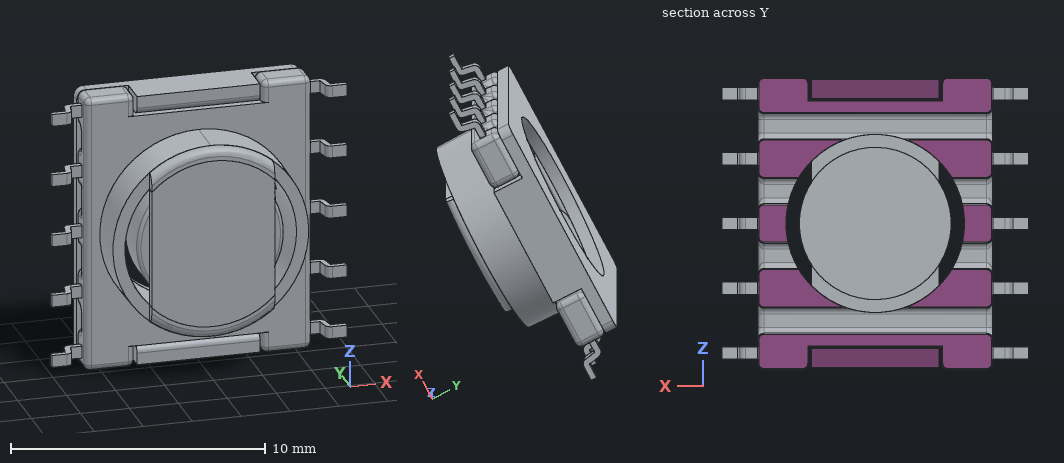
import cadquery as cq
import math


BOARD_WIDTH = 9.25
BOARD_HEIGHT = 11.5
BOARD_DEPTH = 1.25
EDGE_RADIUS = 0.25
NOTCH_WIDTH = 5.21
NOTCH_DEPTH = 0.89

TUBE_LENGTH = 1.79
TUBE_RADIUS = 4.02
TUBE_BASE_HALF_WIDTH = 4.03
TUBE_FRONT_HALF_WIDTH = 4.0
BORE_RADIUS = 3.5
RIM_HEIGHT = 0.36
RIM_RADIUS = 0.35

STRAP_WIDTH = 5.02

PLATE_DEPTH = 0.5
PLATE_HEIGHT = 11.35
PLATE_CORNER_RADIUS = 0.4
LEG_HEIGHT = 0.77
LEG_EDGE_RADIUS = 0.28

POST_RADIUS = 2.99
POST_EDGE_RADIUS = 0.15

PINS_PER_SIDE = 5
PIN_PITCH = 2.55
PIN_WIDTH = 0.51
PIN_THICKNESS = 0.25
PIN_SPAN = 12.07
PIN_EXIT_DEPTH = 0.51
PIN_UPPER_BEND_X = 5.09
PIN_LOWER_BEND_X = 5.42
PIN_STEP = 0.65
WINDOW_WIDTH = 0.99
WINDOW_DEPTH = 0.5
WINDOW_CORNER_RADIUS = 0.23

BOARD_FRONT_Y = -BOARD_DEPTH
TUBE_FRONT_Y = BOARD_FRONT_Y - TUBE_LENGTH
STRAP_FRONT_Y = TUBE_FRONT_Y - RIM_HEIGHT

SELECTION_MARGIN = 0.01


def block(width, height, y_back, y_front):
    """Box centered on X = Z = 0 between two Y planes."""
    depth = y_back - y_front
    return cq.Workplane("XY").box(width, depth, height).translate((0, (y_back + y_front) / 2, 0))


def cylinder(radius, y_back, y_front):
    """Round bar along Y between two Y planes."""
    return cq.Workplane("XZ").workplane(offset=-y_back).circle(radius).extrude(y_back - y_front)


def make_window(rounded):
    """Channel along X in the back of the board."""
    window = block(BOARD_WIDTH, WINDOW_WIDTH, 0, -WINDOW_DEPTH)
    if rounded:
        window = window.faces("<Y").edges("|X").fillet(WINDOW_CORNER_RADIUS)
    return window


def make_board():
    board = block(BOARD_WIDTH, BOARD_HEIGHT, 0, BOARD_FRONT_Y)
    for side in (-1, 1):
        notch = block(NOTCH_WIDTH, 2 * NOTCH_DEPTH, 0, BOARD_FRONT_Y)
        board = board.cut(notch.translate((0, 0, side * BOARD_HEIGHT / 2)))

    for row in range(PINS_PER_SIDE - 1):
        offset = row - (PINS_PER_SIDE - 2) / 2
        window = make_window(rounded=abs(offset) > 1)
        board = board.cut(window.translate((0, 0, offset * PIN_PITCH)))

    rim = board.faces("<X or >X or >Y or <Z or >Z").edges()
    rim = rim.add(board.faces("<Y").edges("|Z"))
    board = rim.fillet(EDGE_RADIUS)

    inner_reach = PIN_PITCH / 2 + WINDOW_WIDTH
    inner_corners = cq.selectors.BoxSelector(
        (-BOARD_WIDTH, -WINDOW_DEPTH - SELECTION_MARGIN, -inner_reach),
        (BOARD_WIDTH, -WINDOW_DEPTH + SELECTION_MARGIN, inner_reach),
    )
    return board.edges("|X").edges(inner_corners).fillet(WINDOW_CORNER_RADIUS)


def make_tube():
    """Tube, slightly wider at its base, whose front carries two rounded rim segments."""
    tube = (
        cq.Workplane("XZ", origin=(0, BOARD_FRONT_Y, 0))
        .ellipse(TUBE_BASE_HALF_WIDTH, TUBE_RADIUS)
        .workplane(offset=TUBE_LENGTH)
        .ellipse(TUBE_FRONT_HALF_WIDTH, TUBE_RADIUS)
        .loft(ruled=True)
    )
    rim = cylinder(TUBE_RADIUS, TUBE_FRONT_Y, STRAP_FRONT_Y)
    rim = rim.faces("<Y").edges().fillet(RIM_RADIUS)
    return tube.union(rim.intersect(block(STRAP_WIDTH, 2 * TUBE_RADIUS, TUBE_FRONT_Y, STRAP_FRONT_Y)))


def make_pin(side, z):
    """Flat strip bent into a step: sharp inside each bend, round outside it."""
    upper_x, upper_y = PIN_UPPER_BEND_X, -PIN_EXIT_DEPTH - PIN_THICKNESS
    lower_x, lower_y = PIN_LOWER_BEND_X, -PIN_EXIT_DEPTH - PIN_STEP
    run = lower_x - upper_x
    drop = upper_y - lower_y
    lean = math.atan2(run, drop) - math.asin(PIN_THICKNESS / math.hypot(run, drop))

    def bend(center_x, center_y, sign, angle):
        reach = sign * PIN_THICKNESS
        return (center_x + reach * math.cos(angle), center_y + reach * math.sin(angle))

    mid_angle = (lean + math.pi / 2) / 2
    pin = (
        cq.Workplane("XY")
        .workplane(offset=z - PIN_WIDTH / 2)
        .moveTo(BOARD_WIDTH / 2, -PIN_EXIT_DEPTH)
        .lineTo(upper_x, -PIN_EXIT_DEPTH)
        .threePointArc(bend(upper_x, upper_y, 1, mid_angle), bend(upper_x, upper_y, 1, lean))
        .lineTo(lower_x, lower_y)
        .lineTo(PIN_SPAN / 2, lower_y)
        .lineTo(PIN_SPAN / 2, lower_y - PIN_THICKNESS)
        .lineTo(lower_x, lower_y - PIN_THICKNESS)
        .threePointArc(bend(lower_x, lower_y, -1, mid_angle), bend(lower_x, lower_y, -1, lean))
        .lineTo(upper_x, upper_y)
        .lineTo(BOARD_WIDTH / 2, upper_y)
        .close()
        .extrude(PIN_WIDTH)
    )
    return pin if side > 0 else pin.mirror("YZ")


def make_housing():
    """Board, tube and pins molded into one body, bored through along Y."""
    housing = make_board().union(make_tube())
    housing = housing.cut(cylinder(BORE_RADIUS, PLATE_DEPTH, STRAP_FRONT_Y))
    for side in (-1, 1):
        for row in range(PINS_PER_SIDE):
            z = (row - (PINS_PER_SIDE - 1) / 2) * PIN_PITCH
            housing = housing.union(make_pin(side, z))
    return housing


def make_base_plate():
    """Bored back plate with a leg in each end notch of the board."""
    plate = block(BOARD_WIDTH, PLATE_HEIGHT, PLATE_DEPTH, 0).edges("|Y").fillet(PLATE_CORNER_RADIUS)
    plate = plate.cut(cylinder(BORE_RADIUS, PLATE_DEPTH, 0))
    leg_z = (PLATE_HEIGHT - LEG_HEIGHT) / 2
    for side, inner_edge in ((1, "<Z"), (-1, ">Z")):
        leg = block(STRAP_WIDTH, LEG_HEIGHT, 0, BOARD_FRONT_Y)
        leg = leg.faces("<Y").edges(inner_edge).fillet(LEG_EDGE_RADIUS)
        plate = plate.union(leg.translate((0, 0, side * leg_z)))
    return plate


def make_strap():
    """Flat-sided disc that closes the bore between the rim segments."""
    disc = cylinder(BORE_RADIUS, TUBE_FRONT_Y, STRAP_FRONT_Y)
    return disc.intersect(block(STRAP_WIDTH, 2 * TUBE_RADIUS, TUBE_FRONT_Y, STRAP_FRONT_Y))


def make_post():
    """Round post standing behind the strap."""
    bar = cylinder(POST_RADIUS, BOARD_FRONT_Y, TUBE_FRONT_Y)
    return bar.faces("<Y").edges().fillet(POST_EDGE_RADIUS)


housing = make_housing()
base_plate = make_base_plate()
strap = make_strap()
post = make_post()

result = cq.Compound.makeCompound([housing.val(), base_plate.val(), strap.val(), post.val()])